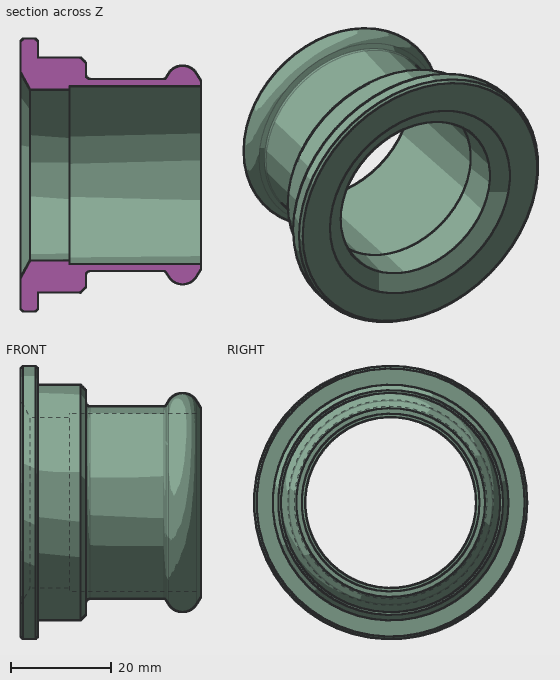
import cadquery as cq
import math

length = 36.0
flange_radius = 54.5 / 2
flange_width = 3.55
flange_chamfer = 0.55

collar_radius = 47.0 / 2
collar_end = 13.1
collar_chamfer = 1.1

neck_radius = 38.4 / 2
neck_fillet = 0.8

bead_peak_x = 32.3
bead_peak_radius = 21.85
bead_section_radius = 3.25
bead_arc_half_width = 2.8
bead_root_fillet = 0.45

mouth_radius = 41.0 / 2
mouth_depth = 1.9
throat_radius = 34.0 / 2
throat_end = 9.8
tube_bore_radius = 35.4 / 2

bead_center_radius = bead_peak_radius - bead_section_radius
bead_arc_rise = math.sqrt(bead_section_radius**2 - bead_arc_half_width**2)
bead_arc_end_radius = bead_center_radius + bead_arc_rise
bead_start_x = bead_peak_x - bead_arc_half_width
bead_end_x = bead_peak_x + bead_arc_half_width
cone_slope = bead_arc_half_width / bead_arc_rise
end_face_radius = bead_arc_end_radius - cone_slope * (length - bead_end_x)

cone_angle = math.atan(cone_slope)
root_corner_x = bead_start_x - (bead_arc_end_radius - neck_radius) / cone_slope
root_tangent_length = bead_root_fillet * math.tan(cone_angle / 2)
root_start_x = root_corner_x - root_tangent_length
root_end_x = root_corner_x + root_tangent_length * math.cos(cone_angle)
root_end_radius = neck_radius + root_tangent_length * math.sin(cone_angle)

section = (
    cq.Workplane("XY")
    .moveTo(0, mouth_radius)
    .lineTo(0, flange_radius - flange_chamfer)
    .lineTo(flange_chamfer, flange_radius)
    .lineTo(flange_width - flange_chamfer, flange_radius)
    .lineTo(flange_width, flange_radius - flange_chamfer)
    .lineTo(flange_width, collar_radius)
    .lineTo(collar_end - collar_chamfer, collar_radius)
    .lineTo(collar_end, collar_radius - collar_chamfer)
    .lineTo(collar_end, neck_radius + neck_fillet)
    .radiusArc((collar_end + neck_fillet, neck_radius), -neck_fillet)
    .lineTo(root_start_x, neck_radius)
    .radiusArc((root_end_x, root_end_radius), -bead_root_fillet)
    .lineTo(bead_start_x, bead_arc_end_radius)
    .threePointArc((bead_peak_x, bead_peak_radius), (bead_end_x, bead_arc_end_radius))
    .lineTo(length, end_face_radius)
    .lineTo(length, tube_bore_radius)
    .lineTo(throat_end, tube_bore_radius)
    .lineTo(throat_end, throat_radius)
    .lineTo(mouth_depth, throat_radius)
    .close()
)

result = section.revolve(360, (0, 0, 0), (1, 0, 0))